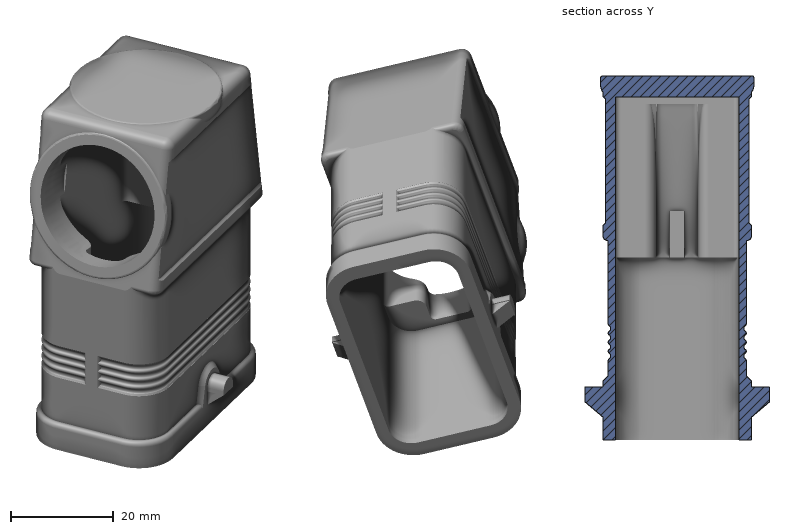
import cadquery as cq
import math

TOTAL_HEIGHT = 71.1

BODY_X = 27.1
BODY_Y = 46.2
BODY_CORNER = 6.5

FLANGE_STEP = 1.0
FLANGE_X = BODY_X + 2 * FLANGE_STEP
FLANGE_Y = BODY_Y + 2 * FLANGE_STEP
FLANGE_CORNER = BODY_CORNER + FLANGE_STEP
FLANGE_HEIGHT = 5.75

HEAD_X = 29.0
HEAD_BOTTOM = 38.9
LEAN = 10.0
HEAD_ROUND = 2.0
HEAD_BOTTOM_ROUND = 1.0
TOP_PAD_RISE = 0.15
HEAD_TOP = TOTAL_HEIGHT - TOP_PAD_RISE
LEAN_SLOPE = math.tan(math.radians(LEAN))

PANEL_DEPTH = 0.5
PANEL_BOTTOM = 41.9
PANEL_TOP = 67.0
PANEL_EDGE_SLOPE = 0.5

PAD_RADIUS = 15.0
PAD_DEPTH = 4.3
PAD_FRONT_ROUND = 0.5
PAD_BACK_ROUND = 2.5
PORT_Z = 54.6
PORT_RISE = 0.2
PORT_BORE_RADIUS = 12.45
PORT_BORE_DEPTH = 9.95

GROOVE_COUNT = 4
GROOVE_PITCH = 1.8
GROOVE_DEPTH = 0.5
GROOVE_HALF_WIDTH = 0.51
GROOVE_CENTER_Z = 19.1
CREST_SINK = 0.035
GROOVE_CLEARANCE = 0.35
GROOVE_GAP = 2.7
GROOVE_END_SLOPE = 0.5

PIN_SPAN = 36.1
PIN_RADIUS = 2.0
PIN_Z = 8.45
PIN_TIP_BOTTOM = 7.55
PIN_FOOT_Z = 4.55
PIN_WEB_WIDTH = 3.55
ARCH_RADIUS = 3.1
ARCH_SPRING_ANGLE = 15.0
ARCH_FOOT_HALF = 4.05
ARCH_FOOT_Z = 4.75

POCKET_HEIGHT = 35.55
POCKET_Y = 42.1
POCKET_CORNER = 4.6
CAVITY_X = 24.0
CAVITY_Y = 27.6
CAVITY_TOP = 66.8
CAVITY_CORNER = 1.0
CHANNEL_X = 8.25
CHANNEL_FLOOR_ROUND = 1.0
CHANNEL_LIP_ROUND = 2.05
CHANNEL_WALL = 4.3
CHANNEL_TOP = 65.55
TAB_FACE_WIDTH = 2.7
TAB_ROOT_WIDTH = 3.55
TAB_TOP = 44.65
TAB_FACE_Y = 16.7


def upright_block(size_x, size_y, corner, bottom, top):
    """Rectangular prism with rounded upright edges."""
    block = cq.Workplane("XY").workplane(offset=bottom).rect(size_x, size_y).extrude(top - bottom)
    return block.edges("|Z").fillet(corner)


def wedge_half_y(z):
    """Distance from the middle plane to the leaning Y face at height z."""
    return BODY_Y / 2 - (z - HEAD_BOTTOM) * LEAN_SLOPE


def wedge(size_x, bottom, top, inset=0.0):
    """Block with leaning Y faces that lie inside the outer ones by inset."""
    bottom_y = wedge_half_y(bottom) - inset
    top_y = wedge_half_y(top) - inset
    return (
        cq.Workplane("YZ")
        .moveTo(-bottom_y, bottom)
        .lineTo(bottom_y, bottom)
        .lineTo(top_y, top)
        .lineTo(-top_y, top)
        .close()
        .extrude(size_x / 2, both=True)
    )


def round_pad(plane):
    """Disc whose front face lies on the plane, rounded at the front and more at the buried back."""
    front_start = PAD_RADIUS - PAD_FRONT_ROUND
    back_end = PAD_RADIUS - PAD_BACK_ROUND
    front_mid = PAD_FRONT_ROUND * (1 - math.sqrt(0.5))
    back_mid = PAD_BACK_ROUND * (1 - math.sqrt(0.5))
    half_section = (
        cq.Workplane("XZ")
        .lineTo(front_start, 0)
        .threePointArc((PAD_RADIUS - front_mid, -front_mid), (PAD_RADIUS, -PAD_FRONT_ROUND))
        .lineTo(PAD_RADIUS, PAD_BACK_ROUND - PAD_DEPTH)
        .threePointArc((PAD_RADIUS - back_mid, back_mid - PAD_DEPTH), (back_end, -PAD_DEPTH))
        .lineTo(0, -PAD_DEPTH)
        .close()
    )
    disc = half_section.revolve(360, (0, 0, 0), (0, 1, 0))
    return cq.Workplane(disc.val().moved(cq.Location(plane)))


def make_flange():
    flange = upright_block(FLANGE_X, FLANGE_Y, FLANGE_CORNER, 0, FLANGE_HEIGHT)
    return flange.faces(">Z").edges().fillet(FLANGE_STEP)


def make_head():
    raw = wedge(HEAD_X, HEAD_BOTTOM, HEAD_TOP)
    head = raw.edges("not <Z").fillet(HEAD_ROUND)
    head = head.faces("<Z").edges().fillet(HEAD_BOTTOM_ROUND)
    core = upright_block(BODY_X, BODY_Y, BODY_CORNER, HEAD_BOTTOM, HEAD_BOTTOM + 2 * HEAD_BOTTOM_ROUND)
    head = head.union(core.intersect(raw))
    for side in (-1, 1):
        floor_x = side * (HEAD_X / 2 - PANEL_DEPTH)
        outer_x = side * HEAD_X / 2
        panel = (
            cq.Workplane("XZ")
            .moveTo(floor_x, PANEL_BOTTOM + PANEL_EDGE_SLOPE)
            .lineTo(outer_x, PANEL_BOTTOM)
            .lineTo(outer_x, PANEL_TOP)
            .lineTo(floor_x, PANEL_TOP - PANEL_EDGE_SLOPE)
            .close()
            .extrude(BODY_Y, both=True)
        )
        head = head.cut(panel)
    return head


def port_plane():
    """Plane of the port rim, parallel to the leaning -Y face and just proud of it."""
    lean = math.radians(LEAN)
    normal = cq.Vector(0, -math.cos(lean), math.sin(lean))
    origin = cq.Vector(0, -wedge_half_y(PORT_Z), PORT_Z) + normal * PORT_RISE
    return cq.Plane(origin=origin, xDir=(1, 0, 0), normal=normal)


def top_plane():
    return cq.Plane.XY(origin=(0, 0, TOTAL_HEIGHT))


def groove_profile(side):
    """Wave of hollows and crests in a YZ plane at the -Y face, closed outside the body."""
    crest_half = GROOVE_PITCH / 2 - GROOVE_HALF_WIDTH
    hollow_sag = GROOVE_DEPTH * GROOVE_HALF_WIDTH / (GROOVE_PITCH / 2)
    crest_y = -BODY_Y / 2 + CREST_SINK
    bend_y = crest_y + GROOVE_DEPTH - hollow_sag
    floor_y = crest_y + GROOVE_DEPTH
    outside_y = -BODY_Y / 2 - GROOVE_CLEARANCE
    band_half = GROOVE_COUNT * GROOVE_PITCH / 2
    low = GROOVE_CENTER_Z - band_half
    high = GROOVE_CENTER_Z + band_half
    wave = (
        cq.Workplane("YZ", origin=(side * GROOVE_GAP / 2, 0, 0))
        .moveTo(outside_y, low)
        .lineTo(crest_y, low)
        .lineTo(bend_y, low + crest_half)
    )
    for index in range(GROOVE_COUNT):
        hollow_z = low + (index + 0.5) * GROOVE_PITCH
        hollow_end = hollow_z + GROOVE_HALF_WIDTH
        wave = wave.threePointArc((floor_y, hollow_z), (bend_y, hollow_end))
        if index < GROOVE_COUNT - 1:
            wave = wave.threePointArc(
                (crest_y, hollow_end + crest_half), (bend_y, hollow_end + 2 * crest_half)
            )
    return wave.lineTo(crest_y, high).lineTo(outside_y, high).close()


def make_grip_grooves(side):
    """Groove band round one X side of the body, with sloped ends near the middle of the Y faces."""
    half_x = BODY_X / 2
    half_y = BODY_Y / 2
    straight_x = half_x - BODY_CORNER
    straight_y = half_y - BODY_CORNER
    diagonal = BODY_CORNER * math.sqrt(0.5)
    path = (
        cq.Workplane("XY", origin=(0, 0, GROOVE_CENTER_Z))
        .moveTo(side * GROOVE_GAP / 2, -half_y)
        .lineTo(side * straight_x, -half_y)
        .threePointArc(
            (side * (straight_x + diagonal), -straight_y - diagonal), (side * half_x, -straight_y)
        )
        .lineTo(side * half_x, straight_y)
        .threePointArc(
            (side * (straight_x + diagonal), straight_y + diagonal), (side * straight_x, half_y)
        )
        .lineTo(side * GROOVE_GAP / 2, half_y)
    )
    band = groove_profile(side).sweep(path)
    floor_x = GROOVE_GAP / 2 + GROOVE_END_SLOPE
    floor_y = half_y - GROOVE_DEPTH - CREST_SINK
    bridge = (
        cq.Workplane("XY")
        .moveTo(0, -half_y)
        .lineTo(side * GROOVE_GAP / 2, -half_y)
        .lineTo(side * floor_x, -floor_y)
        .lineTo(side * floor_x, floor_y)
        .lineTo(side * GROOVE_GAP / 2, half_y)
        .lineTo(0, half_y)
        .close()
        .extrude(HEAD_BOTTOM)
    )
    return band.cut(bridge)


def make_pin(side):
    """Locking pin with a round top and flat flanks, carried by a sloped web below it."""
    tip_x = side * PIN_SPAN / 2
    root_x = side * BODY_X / 2
    flange_x = side * FLANGE_X / 2
    drop = PIN_TIP_BOTTOM - PIN_Z
    pin = (
        cq.Workplane("YZ", origin=(root_x, 0, PIN_Z))
        .moveTo(-PIN_RADIUS, drop)
        .lineTo(-PIN_RADIUS, 0)
        .threePointArc((0, PIN_RADIUS), (PIN_RADIUS, 0))
        .lineTo(PIN_RADIUS, drop)
        .close()
        .extrude(tip_x - root_x)
    )
    web = (
        cq.Workplane("XZ")
        .moveTo(root_x, PIN_Z)
        .lineTo(tip_x, PIN_Z)
        .lineTo(tip_x, PIN_TIP_BOTTOM)
        .lineTo(flange_x, PIN_FOOT_Z)
        .lineTo(root_x, PIN_FOOT_Z)
        .close()
        .extrude(PIN_WEB_WIDTH / 2, both=True)
    )
    return pin.union(web)


def arch_outline(x, grow):
    """Arch that widens towards its foot, enlarged outward by grow."""
    radius = ARCH_RADIUS + grow
    foot = ARCH_FOOT_HALF + grow
    spring_angle = math.radians(ARCH_SPRING_ANGLE)
    spring_y = radius * math.cos(spring_angle)
    spring_z = radius * math.sin(spring_angle)
    foot_z = ARCH_FOOT_Z - PIN_Z
    return (
        cq.Workplane("YZ", origin=(x, 0, PIN_Z))
        .moveTo(-foot, foot_z)
        .lineTo(-spring_y, spring_z)
        .threePointArc((0, radius), (spring_y, spring_z))
        .lineTo(foot, foot_z)
        .close()
    )


def make_arch_pad(side):
    """Raised arch behind a pin with sloped edges running down to the body."""
    front = arch_outline(side * FLANGE_X / 2, 0).wires().val()
    base = arch_outline(side * BODY_X / 2, FLANGE_STEP).wires().val()
    return cq.Workplane(cq.Solid.makeLoft([base, front], True))


def make_end_channels():
    """Slots in both Y walls whose floors lean with the outer faces; their mouths are rounded."""
    reach = wedge(BODY_X, POCKET_HEIGHT, CHANNEL_TOP, CHANNEL_WALL)
    channels = wedge(CHANNEL_X, POCKET_HEIGHT, CHANNEL_TOP, CHANNEL_WALL)
    channels = channels.edges("not(|X or |Y)").fillet(CHANNEL_FLOOR_ROUND)
    lip_mid = CHANNEL_LIP_ROUND * (1 - math.sqrt(0.5))
    for side_x in (-1, 1):
        for side_y in (-1, 1):
            wall_x = side_x * CHANNEL_X / 2
            wall_y = side_y * CAVITY_Y / 2
            lip = (
                cq.Workplane("XY", origin=(wall_x, wall_y, POCKET_HEIGHT))
                .lineTo(side_x * CHANNEL_LIP_ROUND, 0)
                .threePointArc((side_x * lip_mid, side_y * lip_mid), (0, side_y * CHANNEL_LIP_ROUND))
                .close()
                .extrude(CHANNEL_TOP - POCKET_HEIGHT)
            )
            channels = channels.union(lip.intersect(reach))
    return channels


def make_tab():
    """Upright tab on the floor of the +Y channel, wider at its root."""
    root_y = BODY_Y / 2
    return (
        cq.Workplane("XY", origin=(0, 0, POCKET_HEIGHT))
        .moveTo(-TAB_FACE_WIDTH / 2, TAB_FACE_Y)
        .lineTo(TAB_FACE_WIDTH / 2, TAB_FACE_Y)
        .lineTo(TAB_ROOT_WIDTH / 2, root_y)
        .lineTo(-TAB_ROOT_WIDTH / 2, root_y)
        .close()
        .extrude(TAB_TOP - POCKET_HEIGHT)
    )


def make_cavity():
    """Insert pocket at the mouth, chamber above it and the leaning end channels."""
    pocket = upright_block(CAVITY_X, POCKET_Y, POCKET_CORNER, 0, POCKET_HEIGHT)
    chamber = upright_block(CAVITY_X, CAVITY_Y, CAVITY_CORNER, 0, CAVITY_TOP)
    return pocket.union(chamber).union(make_end_channels().cut(make_tab()))


def make_port_bore():
    return cq.Workplane(port_plane()).circle(PORT_BORE_RADIUS).extrude(-PORT_BORE_DEPTH)


body = upright_block(BODY_X, BODY_Y, BODY_CORNER, 0, HEAD_BOTTOM)
for groove_side in (-1, 1):
    body = body.cut(make_grip_grooves(groove_side))

housing = body.union(make_flange()).union(make_head())
housing = housing.union(round_pad(top_plane())).union(round_pad(port_plane()))
for pin_side in (-1, 1):
    housing = housing.union(make_arch_pad(pin_side)).union(make_pin(pin_side))

result = housing.cut(make_cavity()).cut(make_port_bore())